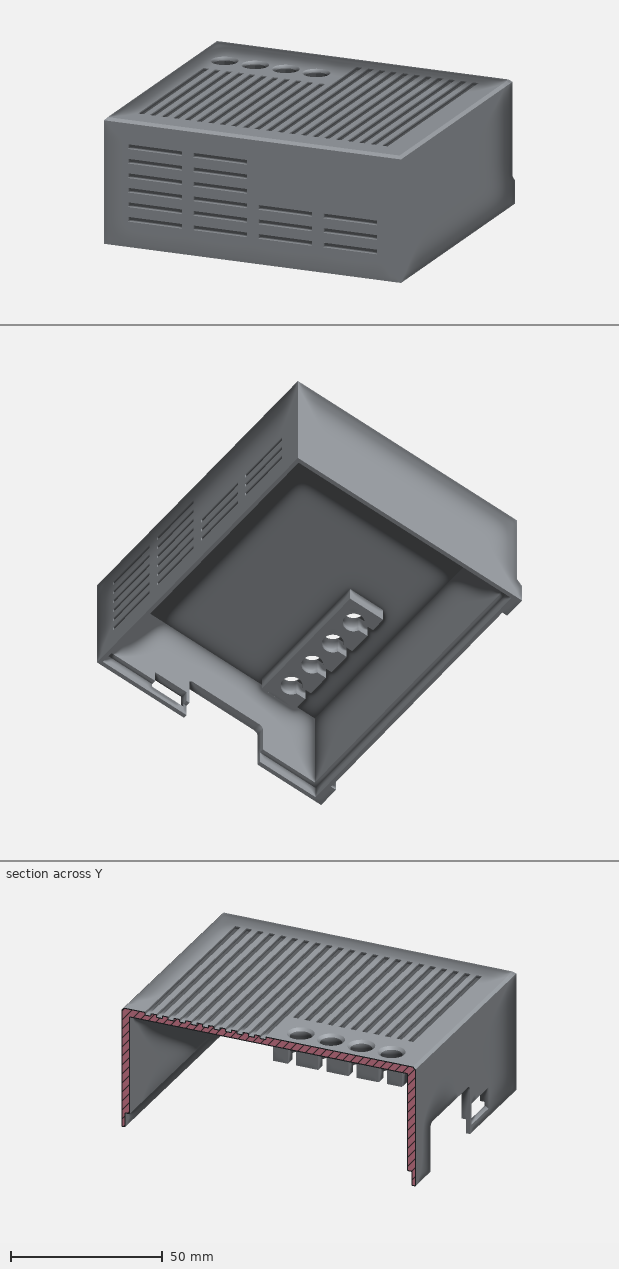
import cadquery as cq

WIDTH = 106.6
DEPTH = 94.0
HEIGHT = 43.6
TAB_REACH = 2.0
BODY_DEPTH = DEPTH - TAB_REACH
EDGE_CHAMFER = 1.0

SIDE_WALL = 3.0
TOP_WALL = 3.0
LIP_WALL = 1.4
LIP_HEIGHT = 5.1

TAB_WIDTH = 7.9
TAB_HEIGHT = 8.0

GROOVE_MARGIN = 8.5

TOP_GROOVE_COUNT = 22
TOP_GROOVE_DEPTH = 1.0
TOP_SHORT_COUNT = TOP_GROOVE_COUNT // 2
TOP_GROOVE_WIDTH = 2.0
TOP_GROOVE_PITCH = (WIDTH - 2 * GROOVE_MARGIN - TOP_GROOVE_WIDTH) / (TOP_GROOVE_COUNT - 1)
TOP_LONG_LENGTH = BODY_DEPTH - 2 * GROOVE_MARGIN
TOP_SHORT_LENGTH = 53.9

FRONT_ROWS_PER_COLUMN = (6, 6, 3, 3)
FRONT_GROOVE_DEPTH = 2.0
FRONT_GROOVE_HEIGHT = 1.6
FRONT_GROOVE_GAP = 3.9
FRONT_ROW_PITCH = 5.0
FRONT_LOWEST_ROW = 9.6
FRONT_COLUMN_COUNT = len(FRONT_ROWS_PER_COLUMN)
FRONT_COLUMN_PITCH = (WIDTH - 2 * GROOVE_MARGIN + FRONT_GROOVE_GAP) / FRONT_COLUMN_COUNT
FRONT_GROOVE_LENGTH = FRONT_COLUMN_PITCH - FRONT_GROOVE_GAP

HOLE_COUNT = 4
HOLE_DIAMETER = 7.2
HOLE_CHAMFER = 1.0
HOLE_PITCH = 11.0
FIRST_HOLE_X = 11.8
HOLE_Y = 72.3

BAR_MARGIN = 6.9
BAR_HEIGHT = 5.3
SLIT_WIDTH = 3.0
SLIT_COVER = 0.3

NOTCH_FRONT = 36.5
NOTCH_BACK = 67.3
NOTCH_HEIGHT = 17.8
NOTCH_RADIUS = 1.5
WINDOW_FRONT = 22.1
WINDOW_BACK = 35.3
WINDOW_BOTTOM = 3.6
WINDOW_TOP = 9.9
WINDOW_CHAMFER = 0.7


def block(x_min, y_min, z_min, length, depth, height):
    """Box placed by its lowest corner."""
    return cq.Workplane("XY").box(length, depth, height, centered=False).translate((x_min, y_min, z_min))


def make_shell():
    """Chamfered box with back tabs, hollowed from below."""
    body = block(0, 0, 0, WIDTH, BODY_DEPTH, HEIGHT).faces(">Z").edges().chamfer(EDGE_CHAMFER)
    tab_profile = [
        (BODY_DEPTH - SIDE_WALL, 0),
        (DEPTH, 0),
        (DEPTH, TAB_HEIGHT),
        (BODY_DEPTH, TAB_HEIGHT + TAB_REACH),
        (BODY_DEPTH - SIDE_WALL, TAB_HEIGHT + TAB_REACH),
    ]
    tab = cq.Workplane("YZ").polyline(tab_profile).close().extrude(TAB_WIDTH)
    body = body.union(tab).union(tab.translate((WIDTH - TAB_WIDTH, 0, 0)))
    for wall, cavity_height in ((SIDE_WALL, HEIGHT - TOP_WALL), (LIP_WALL, LIP_HEIGHT)):
        cavity = block(wall, wall, 0, WIDTH - 2 * wall, BODY_DEPTH - 2 * wall, cavity_height)
        body = body.cut(cavity)
    return body


def cut_top_grooves(body):
    """Grooves along Y; the left half is shorter to clear the holes."""
    floor = HEIGHT - TOP_GROOVE_DEPTH
    for index in range(TOP_GROOVE_COUNT):
        length = TOP_SHORT_LENGTH if index < TOP_SHORT_COUNT else TOP_LONG_LENGTH
        x_min = GROOVE_MARGIN + index * TOP_GROOVE_PITCH
        body = body.cut(block(x_min, GROOVE_MARGIN, floor, TOP_GROOVE_WIDTH, length, TOP_GROOVE_DEPTH))
    return body


def cut_front_grooves(body):
    """Columns of horizontal grooves in the front wall, stacked from the bottom."""
    for column, row_count in enumerate(FRONT_ROWS_PER_COLUMN):
        x_min = GROOVE_MARGIN + column * FRONT_COLUMN_PITCH
        for row in range(row_count):
            z_min = FRONT_LOWEST_ROW + row * FRONT_ROW_PITCH - FRONT_GROOVE_HEIGHT / 2
            groove = block(x_min, 0, z_min, FRONT_GROOVE_LENGTH, FRONT_GROOVE_DEPTH, FRONT_GROOVE_HEIGHT)
            body = body.cut(groove)
    return body


def add_hole_row(body):
    """Countersunk through holes in a bar under the top wall, each slit open toward the back."""
    row_length = (HOLE_COUNT - 1) * HOLE_PITCH
    bar_x = FIRST_HOLE_X - BAR_MARGIN
    bar_top = HEIGHT - TOP_WALL
    bar_bottom = bar_top - BAR_HEIGHT
    bar_length = row_length + 2 * BAR_MARGIN
    bar = block(bar_x, HOLE_Y - BAR_MARGIN, bar_bottom, bar_length, 2 * BAR_MARGIN, BAR_HEIGHT)
    body = body.union(bar)

    centers = [(FIRST_HOLE_X + index * HOLE_PITCH, HOLE_Y) for index in range(HOLE_COUNT)]
    top = cq.Workplane("XY", origin=(0, 0, HEIGHT)).pushPoints(centers)
    drills = top.circle(HOLE_DIAMETER / 2).extrude(bar_bottom - HEIGHT)
    sinks = top.circle(HOLE_DIAMETER / 2 + HOLE_CHAMFER).extrude(-HOLE_CHAMFER, taper=45)
    body = body.cut(drills).cut(sinks)

    slit_top = HEIGHT - HOLE_CHAMFER - SLIT_COVER
    for x_center, y_center in centers:
        slit_x = x_center - SLIT_WIDTH / 2
        body = body.cut(block(slit_x, y_center, bar_bottom, SLIT_WIDTH, BAR_MARGIN, slit_top - bar_bottom))
    return body


def cut_left_openings(body):
    """Round-cornered notch from the bottom edge and a window with beveled sill and head."""
    notch = block(0, NOTCH_FRONT, 0, SIDE_WALL, NOTCH_BACK - NOTCH_FRONT, NOTCH_HEIGHT)
    notch = notch.edges("|X and >Z").fillet(NOTCH_RADIUS)
    window_profile = [
        (0, WINDOW_BOTTOM - WINDOW_CHAMFER),
        (WINDOW_CHAMFER, WINDOW_BOTTOM),
        (SIDE_WALL, WINDOW_BOTTOM),
        (SIDE_WALL, WINDOW_TOP),
        (WINDOW_CHAMFER, WINDOW_TOP),
        (0, WINDOW_TOP + WINDOW_CHAMFER),
    ]
    window = cq.Workplane("XZ", origin=(0, WINDOW_BACK, 0)).polyline(window_profile).close()
    return body.cut(notch).cut(window.extrude(WINDOW_BACK - WINDOW_FRONT))


result = make_shell()
result = cut_top_grooves(result)
result = cut_front_grooves(result)
result = add_hole_row(result)
result = cut_left_openings(result)